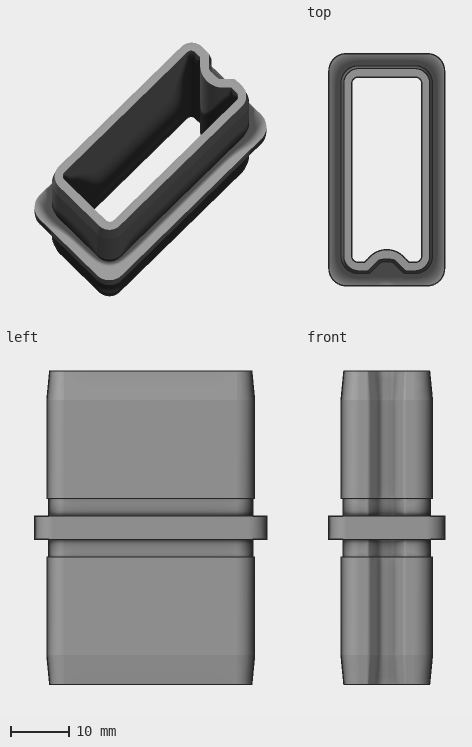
import cadquery as cq
import math

height = 54.0
flange_width = 20.0
flange_length = 40.0
flange_thickness = 4.0
corner_radius = 3.0

plug_width = 15.75
plug_length = 35.8
taper_height = 5.0
tip_inset = 0.5
relief_height = 3.0
relief_inset = 0.3

flank_angle = math.radians(45)
notch_depth = 2.0
notch_flat_width = 1.35
notch_radius = 0.8

side_wall = 1.9
end_wall = 2.0
bore_corner_radius = 0.95
ridge_height = 2.15
ridge_radius = 4.0

trim_ratio = math.tan(flank_angle / 2)


def notched_outline(z, width, length, radius, depth, flat_width, floor_radius, mouth_radius):
    """Rounded rectangle at height z, with a notch in its -Y side (closed by mirroring the +X half)."""
    side_x = width / 2
    end_y = length / 2
    floor_y = depth - end_y
    flat_end = flat_width / 2
    mouth_corner = flat_end + floor_radius * trim_ratio + depth / math.tan(flank_angle)
    mouth_trim = mouth_radius * trim_ratio

    outline = cq.Workplane("XY", origin=(0, 0, z)).moveTo(0, floor_y)

    arc_end = (
        flat_end + floor_radius * math.sin(flank_angle),
        floor_y - floor_radius * (1 - math.cos(flank_angle)),
    )
    arc_middle = (
        flat_end + floor_radius * math.sin(flank_angle / 2),
        floor_y - floor_radius * (1 - math.cos(flank_angle / 2)),
    )
    if flat_end > 0:
        outline = outline.lineTo(flat_end, floor_y)
    outline = outline.threePointArc(arc_middle, arc_end)

    outline = outline.lineTo(
        mouth_corner - mouth_trim * math.cos(flank_angle),
        mouth_trim * math.sin(flank_angle) - end_y,
    )
    if mouth_radius > 0:
        outline = outline.tangentArcPoint((mouth_corner + mouth_trim, -end_y), relative=False)

    return (
        outline.lineTo(side_x - radius, -end_y)
        .tangentArcPoint((side_x, radius - end_y), relative=False)
        .lineTo(side_x, end_y - radius)
        .tangentArcPoint((side_x - radius, end_y), relative=False)
        .lineTo(0, end_y)
        .mirrorY()
    )


def plug_outline(z, inset=0.0):
    """Plug outline at height z, inset evenly: floor arcs grow and all other arcs shrink."""
    return notched_outline(
        z,
        width=plug_width - 2 * inset,
        length=plug_length - 2 * inset,
        radius=corner_radius - inset,
        depth=notch_depth,
        flat_width=notch_flat_width,
        floor_radius=notch_radius + inset,
        mouth_radius=notch_radius - inset,
    )


def make_plug():
    """Upper plug: relief groove, straight barrel and tapered tip."""
    relief_bottom = flange_thickness / 2
    barrel_bottom = relief_bottom + relief_height
    taper_bottom = height / 2 - taper_height

    relief = plug_outline(relief_bottom, relief_inset).extrude(relief_height)
    barrel = plug_outline(barrel_bottom).extrude(taper_bottom - barrel_bottom)
    taper_wires = [
        plug_outline(taper_bottom).val(),
        plug_outline(height / 2, tip_inset).val(),
    ]
    taper = cq.Workplane(cq.Solid.makeLoft(taper_wires, True))
    return relief.union(barrel).union(taper)


def make_flange():
    """Collar between the two plugs."""
    collar = cq.Workplane("XY").box(flange_width, flange_length, flange_thickness)
    return collar.edges("|Z").fillet(corner_radius)


def make_bore():
    """Solid that hollows out the full height of the part."""
    return notched_outline(
        -height / 2,
        width=plug_width - 2 * side_wall,
        length=plug_length - 2 * end_wall,
        radius=bore_corner_radius,
        depth=ridge_height,
        flat_width=0,
        floor_radius=ridge_radius,
        mouth_radius=0,
    ).extrude(height)


upper_plug = make_plug()
lower_plug = upper_plug.mirror("XY")
result = make_flange().union(upper_plug).union(lower_plug).cut(make_bore())